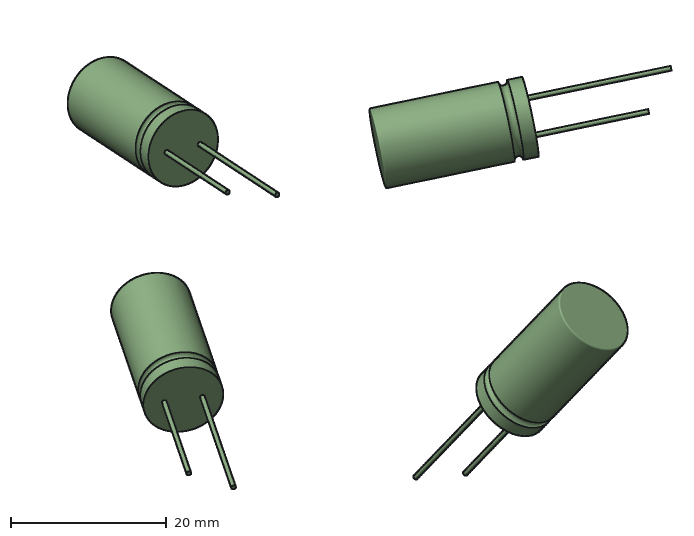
import cadquery as cq


can_diameter = 10.5
can_length = 20.0
can_edge_fillet = 0.2

groove_radius = 0.6
groove_center_x = 17.45

lead_diameter = 0.65
lead_pitch = 5.0
overall_length = 39.01
long_lead_length = overall_length - can_length
short_lead_length = 15.0


def make_can():
    """Solid can with a rounded closed end and a crimp groove near the lead end."""
    radius = can_diameter / 2
    can = (
        cq.Workplane("XY")
        .moveTo(0, 0)
        .lineTo(0, radius)
        .lineTo(groove_center_x - groove_radius, radius)
        .threePointArc(
            (groove_center_x, radius - groove_radius),
            (groove_center_x + groove_radius, radius),
        )
        .lineTo(can_length, radius)
        .lineTo(can_length, 0)
        .close()
        .revolve(360, (0, 0, 0), (1, 0, 0))
    )
    return can.faces("<X").edges().fillet(can_edge_fillet)


def make_lead(center_y, length):
    """Straight round wire that starts on the +X face of the can."""
    return (
        cq.Workplane("YZ", origin=(can_length, center_y, 0))
        .circle(lead_diameter / 2)
        .extrude(length)
    )


can = make_can()

leads = []
for side, length in ((1, long_lead_length), (-1, short_lead_length)):
    leads.append(make_lead(side * lead_pitch / 2, length))

result = cq.Compound.makeCompound([can.val(), *[lead.val() for lead in leads]])